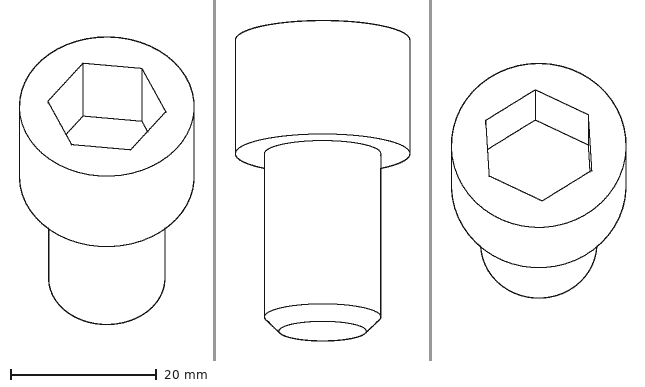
import cadquery as cq
import math

shank_diameter = 16.0
shank_length = 25.0
head_diameter = 1.5 * shank_diameter
head_height = shank_diameter
tip_chamfer = 2.0
hex_sides = 6
hex_across_flats = 14.1
hex_depth = 0.75 * head_height


def make_head():
    """Plain cylindrical head standing on Z = 0."""
    return cq.Workplane("XY").circle(head_diameter / 2).extrude(head_height)


def make_shank():
    """Round shank hanging below the head, chamfered at its tip."""
    shank = cq.Workplane("XY").circle(shank_diameter / 2).extrude(-shank_length)
    return shank.faces("<Z").chamfer(tip_chamfer)


def make_hex_socket():
    """Hexagonal socket with two corners in the XZ plane, sunk from the top of the head."""
    across_corners = hex_across_flats / math.cos(math.pi / hex_sides)
    head_top = cq.Workplane("XY").workplane(offset=head_height)
    return head_top.polygon(hex_sides, across_corners).extrude(-hex_depth)


result = make_head().union(make_shank()).cut(make_hex_socket())